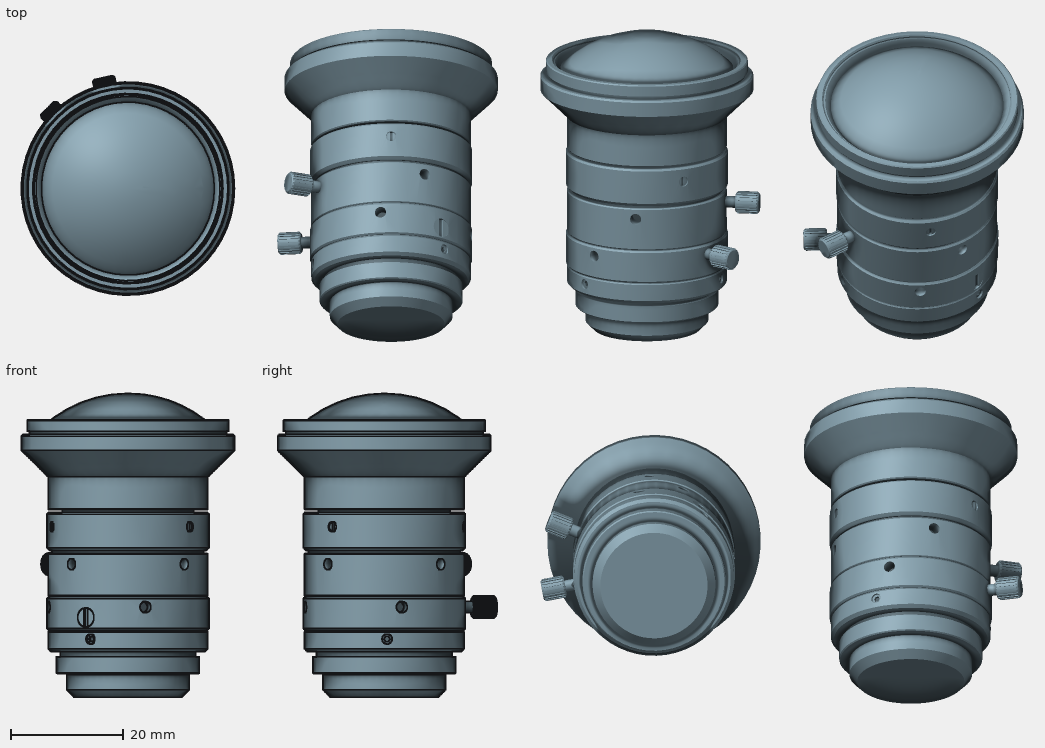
import cadquery as cq
import math


OVERALL_HEIGHT = 54.18
FLANGE_BOTTOM = 4.2
FLANGE_TOP = 7.25
MOUNT_RING_BOTTOM = 8.15
MOUNT_RING_TOP = 11.85
IRIS_RING_BOTTOM = 12.0
IRIS_RING_TOP = 17.9
FIXED_RING_BOTTOM = 18.05
FIXED_RING_TOP = 25.7
FOCUS_RING_BOTTOM = 26.15
FOCUS_RING_TOP = 32.95
BARREL_BOTTOM = 33.4
BARREL_TOP = 39.3
HOOD_RIM_BOTTOM = 44.0
HOOD_RIM_TOP = 46.85
BEZEL_BOTTOM = 47.45
BEZEL_TOP = 49.5

THREAD_RADIUS = 10.95
FLANGE_RADIUS = 12.75
FLANGE_NECK_RADIUS = 12.1
BARREL_RADIUS = 14.25
RING_RADIUS = 14.45
RING_GAP_RADIUS = 14.0
FOCUS_LOWER_NECK_RADIUS = 13.55
FOCUS_UPPER_NECK_RADIUS = 11.75
HOOD_RADIUS = 19.0
BEZEL_GROOVE_RADIUS = 17.6
BEZEL_RADIUS = 18.0
BEZEL_BORE_RADIUS = 16.7
BEZEL_SEAT_RADIUS = 16.4
LENS_RADIUS = 15.4
DOME_RADIUS = 22.3

THREAD_CHAMFER = 1.4
SMALL_CHAMFER = 0.2
EDGE_CHAMFER = 0.3
LOWER_CHAMFER = 0.55
BEZEL_BORE_CHAMFER = 0.25
BEZEL_BORE_DEPTH = 0.5

KNOB_RADIUS = 2.0
KNOB_TIP_DISTANCE = 20.25
KNOB_LENGTH = 4.2
KNOB_CHAMFER = 0.35
KNOB_STEM_RADIUS = 1.05
KNOB_STEM_FOOT_DISTANCE = 10.0
KNURL_COUNT = 20
KNURL_DEPTH = 0.2
KNURL_WIDTH = 0.3

TAPPED_HOLE_COUNT = 4
TAPPED_HOLE_RADIUS = 1.0
TAPPED_HOLE_DEPTH = 3.0
FIXED_KNOB_ANGLE = 135.0
FIXED_HOLE_HEIGHT = 23.75
IRIS_KNOB_ANGLE = 102.5
IRIS_HOLE_HEIGHT = 16.1

SET_SCREW_COUNT = 3
SET_SCREW_RADIUS = 0.9
FOCUS_SCREW_ANGLE = 200.0
FOCUS_SCREW_HEIGHT = 30.4
FOCUS_SCREW_RECESS = 0.3
FOCUS_SLOT_WIDTH = 0.45
MOUNT_SCREW_ANGLE = 242.0
MOUNT_SCREW_HEIGHT = 10.4
MOUNT_SCREW_RECESS = 0.4
HEX_ACROSS_CORNERS = 1.1
DRIVE_DEPTH = 0.5
STOP_SCREW_ANGLE = 238.5
STOP_SCREW_HEIGHT = 14.25
STOP_SCREW_RADIUS = 1.7
STOP_SCREW_RECESS = 0.1
STOP_SLOT_WIDTH = 0.9


def ring(radius, bottom, top, lower_chamfer=0.0, upper_chamfer=0.0):
    """Plain cylinder between two heights with optional chamfered rims."""
    body = cq.Workplane("XY").workplane(offset=bottom).circle(radius).extrude(top - bottom)
    if lower_chamfer:
        body = body.faces("<Z").chamfer(lower_chamfer)
    if upper_chamfer:
        body = body.faces(">Z").chamfer(upper_chamfer)
    return body


def radial_plane(angle, height, distance):
    """Workplane facing outward at the given angle, with its local Y along +Z."""
    cosine = math.cos(math.radians(angle))
    sine = math.sin(math.radians(angle))
    plane = cq.Plane(
        origin=(distance * cosine, distance * sine, height),
        xDir=(-sine, cosine, 0),
        normal=(cosine, sine, 0),
    )
    return cq.Workplane(plane)


def angles_around(first_angle, count):
    return [first_angle + i * 360.0 / count for i in range(count)]


def make_mount():
    thread = ring(THREAD_RADIUS, 0, FLANGE_BOTTOM, THREAD_CHAMFER, SMALL_CHAMFER)
    flange = ring(FLANGE_RADIUS, FLANGE_BOTTOM, FLANGE_TOP, SMALL_CHAMFER)
    neck = ring(FLANGE_NECK_RADIUS, FLANGE_TOP, MOUNT_RING_BOTTOM)
    return thread.union(flange).union(neck)


def make_rings():
    """The four rings, the barrel and the necks showing between them."""
    mount_ring = ring(BARREL_RADIUS, MOUNT_RING_BOTTOM, MOUNT_RING_TOP, LOWER_CHAMFER, SMALL_CHAMFER)
    iris_ring = ring(RING_RADIUS, IRIS_RING_BOTTOM, IRIS_RING_TOP, EDGE_CHAMFER, EDGE_CHAMFER)
    fixed_ring = ring(BARREL_RADIUS, FIXED_RING_BOTTOM, FIXED_RING_TOP, SMALL_CHAMFER, SMALL_CHAMFER)
    focus_ring = ring(RING_RADIUS, FOCUS_RING_BOTTOM, FOCUS_RING_TOP, LOWER_CHAMFER, EDGE_CHAMFER)
    barrel = ring(BARREL_RADIUS, BARREL_BOTTOM, BARREL_TOP, SMALL_CHAMFER)
    necks = [
        ring(RING_GAP_RADIUS, MOUNT_RING_TOP, IRIS_RING_BOTTOM),
        ring(RING_GAP_RADIUS, IRIS_RING_TOP, FIXED_RING_BOTTOM),
        ring(FOCUS_LOWER_NECK_RADIUS, FIXED_RING_TOP, FOCUS_RING_BOTTOM),
        ring(FOCUS_UPPER_NECK_RADIUS, FOCUS_RING_TOP, BARREL_BOTTOM),
    ]
    rings = mount_ring
    for piece in [iris_ring, fixed_ring, focus_ring, barrel] + necks:
        rings = rings.union(piece)
    return rings


def make_front():
    """Flared hood, bezel and domed front element, revolved as one profile."""
    dome_centre = OVERALL_HEIGHT - DOME_RADIUS
    dome_edge = dome_centre + math.sqrt(DOME_RADIUS**2 - LENS_RADIUS**2)
    dome_mid = LENS_RADIUS / 2
    dome_mid_height = dome_centre + math.sqrt(DOME_RADIUS**2 - dome_mid**2)
    seat_height = BEZEL_TOP - BEZEL_BORE_DEPTH
    profile = (
        cq.Workplane("XZ")
        .moveTo(0, BARREL_TOP)
        .lineTo(BARREL_RADIUS, BARREL_TOP)
        .lineTo(HOOD_RADIUS, HOOD_RIM_BOTTOM)
        .lineTo(HOOD_RADIUS, HOOD_RIM_TOP - EDGE_CHAMFER)
        .lineTo(HOOD_RADIUS - EDGE_CHAMFER, HOOD_RIM_TOP)
        .lineTo(BEZEL_GROOVE_RADIUS, HOOD_RIM_TOP)
        .lineTo(BEZEL_GROOVE_RADIUS, BEZEL_BOTTOM)
        .lineTo(BEZEL_RADIUS, BEZEL_BOTTOM)
        .lineTo(BEZEL_RADIUS, BEZEL_TOP - SMALL_CHAMFER)
        .lineTo(BEZEL_RADIUS - SMALL_CHAMFER, BEZEL_TOP)
        .lineTo(BEZEL_BORE_RADIUS + BEZEL_BORE_CHAMFER, BEZEL_TOP)
        .lineTo(BEZEL_BORE_RADIUS, BEZEL_TOP - BEZEL_BORE_CHAMFER)
        .lineTo(BEZEL_BORE_RADIUS, seat_height)
        .lineTo(BEZEL_SEAT_RADIUS, seat_height)
        .lineTo(LENS_RADIUS, dome_edge)
        .threePointArc((dome_mid, dome_mid_height), (0, OVERALL_HEIGHT))
        .close()
    )
    return profile.revolve(360, (0, 0, 0), (0, 1, 0))


def make_knob(angle, height):
    """Knurled head on a thin stem, pointing straight out from the axis."""
    head_distance = KNOB_TIP_DISTANCE - KNOB_LENGTH
    head_plane = radial_plane(angle, height, head_distance)
    stem_plane = radial_plane(angle, height, KNOB_STEM_FOOT_DISTANCE)
    head = head_plane.circle(KNOB_RADIUS).extrude(KNOB_LENGTH).edges("%CIRCLE").chamfer(KNOB_CHAMFER)
    grooves = (
        head_plane.polarArray(KNOB_RADIUS, 0, 360, KNURL_COUNT)
        .rect(2 * KNURL_DEPTH, KNURL_WIDTH)
        .extrude(KNOB_LENGTH)
    )
    stem = stem_plane.circle(KNOB_STEM_RADIUS).extrude(head_distance - KNOB_STEM_FOOT_DISTANCE)
    return head.cut(grooves).union(stem)


def radial_hole(angle, height, surface_radius, hole_radius, depth):
    """Cutter for a flat-bottomed hole, the depth counted from the outer surface."""
    clearance = hole_radius
    start = radial_plane(angle, height, surface_radius - depth)
    return start.circle(hole_radius).extrude(depth + clearance)


def slotted_screw(angle, height, surface_radius, screw_radius, recess, slot_width):
    """Cutter leaving a recessed screw head with an upright driver slot."""
    slot_plane = radial_plane(angle, height, surface_radius - recess - DRIVE_DEPTH)
    bar = slot_plane.rect(slot_width, 2 * screw_radius).extrude(DRIVE_DEPTH + recess)
    bore = slot_plane.circle(screw_radius).extrude(DRIVE_DEPTH + recess)
    slot = bar.intersect(bore)
    return radial_hole(angle, height, surface_radius, screw_radius, recess).union(slot)


def hex_screw(angle, height, surface_radius, screw_radius, recess):
    """Cutter leaving a recessed set screw with a hexagon socket."""
    socket_plane = radial_plane(angle, height, surface_radius - recess - DRIVE_DEPTH)
    socket = socket_plane.polygon(6, HEX_ACROSS_CORNERS).extrude(DRIVE_DEPTH + recess)
    return radial_hole(angle, height, surface_radius, screw_radius, recess).union(socket)


def cut_tapped_holes(body):
    """Holes at quarter turns; the first place of each ring holds its locking screw."""
    for angle in angles_around(FIXED_KNOB_ANGLE, TAPPED_HOLE_COUNT)[1:]:
        hole = radial_hole(angle, FIXED_HOLE_HEIGHT, BARREL_RADIUS, TAPPED_HOLE_RADIUS, TAPPED_HOLE_DEPTH)
        body = body.cut(hole)
    for angle in angles_around(IRIS_KNOB_ANGLE, TAPPED_HOLE_COUNT)[1:]:
        hole = radial_hole(angle, IRIS_HOLE_HEIGHT, RING_RADIUS, TAPPED_HOLE_RADIUS, TAPPED_HOLE_DEPTH)
        body = body.cut(hole)
    return body


def cut_screws(body):
    for angle in angles_around(FOCUS_SCREW_ANGLE, SET_SCREW_COUNT):
        screw = slotted_screw(
            angle, FOCUS_SCREW_HEIGHT, RING_RADIUS, SET_SCREW_RADIUS, FOCUS_SCREW_RECESS, FOCUS_SLOT_WIDTH
        )
        body = body.cut(screw)
    for angle in angles_around(MOUNT_SCREW_ANGLE, SET_SCREW_COUNT):
        screw = hex_screw(angle, MOUNT_SCREW_HEIGHT, BARREL_RADIUS, SET_SCREW_RADIUS, MOUNT_SCREW_RECESS)
        body = body.cut(screw)
    stop_screw = slotted_screw(
        STOP_SCREW_ANGLE,
        STOP_SCREW_HEIGHT,
        RING_RADIUS,
        STOP_SCREW_RADIUS,
        STOP_SCREW_RECESS,
        STOP_SLOT_WIDTH,
    )
    return body.cut(stop_screw)


body = make_mount().union(make_rings()).union(make_front())
body = cut_tapped_holes(body)
body = cut_screws(body)
body = body.union(make_knob(FIXED_KNOB_ANGLE, FIXED_HOLE_HEIGHT))
body = body.union(make_knob(IRIS_KNOB_ANGLE, IRIS_HOLE_HEIGHT))

result = body